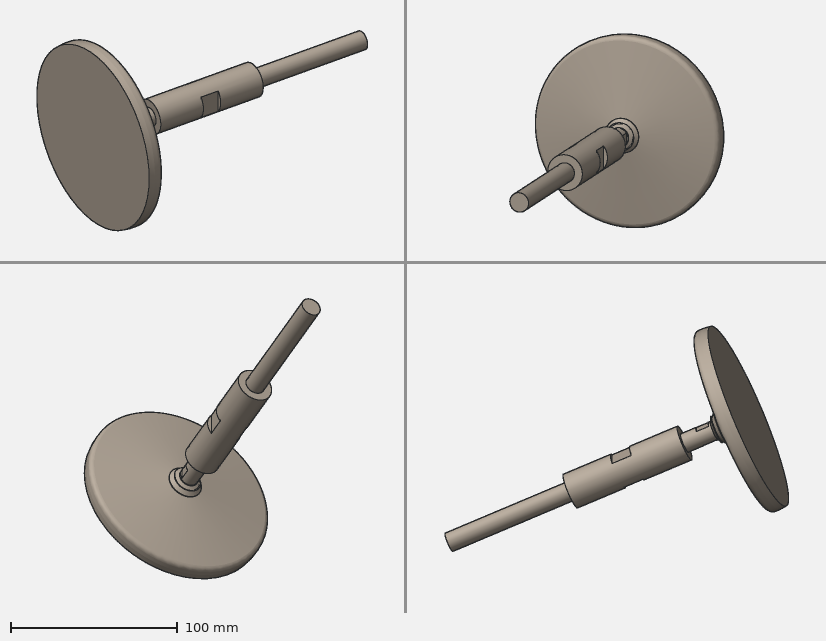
import cadquery as cq

TOTAL_LENGTH = 197.0

FOOT_RADIUS = 118.0 / 2
FACE_RADIUS = 58.5
RIM_LOW = 4.1
RIM_HIGH = 9.7
SHOULDER_FILLET = 3.0
HUB_RADIUS = 10.6
HUB_Y = 17.5
HUB_STEP = 0.4
HUB_TOP_RADIUS = 7.9
LIP_RADIUS = 8.7
LIP_Y = 20.9
LIP_THICKNESS = 0.4
SEAT_RADIUS = 5.5
SEAT_Y = 22.5

SPINDLE_RADIUS = 12.0 / 2
SPINDLE_FLATS = 10.0
SPINDLE_FLAT_START = 23.8
SPINDLE_FLAT_LENGTH = 8.0

SLEEVE_RADIUS = 22.0 / 2
SLEEVE_START = 42.0
SLEEVE_LENGTH = 75.0
SLEEVE_FLATS = 17.0
SLEEVE_FLAT_LENGTH = 12.6


def cylinder_y(radius, start, length):
    """Solid cylinder along +Y, beginning at y = start."""
    return cq.Workplane("XZ", origin=(0, start, 0)).circle(radius).extrude(-length)


def cut_flats(body, radius, across, start, length):
    """Cut two opposite wrench flats facing -X and +X."""
    depth = radius - across / 2
    for side in (-1, 1):
        cutter = cq.Workplane("XY").box(depth, length, 2 * radius)
        x = side * (across + depth) / 2
        body = body.cut(cutter.translate((x, start + length / 2, 0)))
    return body


def make_foot():
    """Conical plate with a rounded rim and a lipped hub."""
    plate = (
        cq.Workplane("XY")
        .lineTo(FACE_RADIUS, 0)
        .lineTo(FOOT_RADIUS, RIM_LOW)
        .lineTo(FOOT_RADIUS, RIM_HIGH)
        .lineTo(HUB_RADIUS, HUB_Y)
        .lineTo(HUB_RADIUS, HUB_Y + HUB_STEP)
        .lineTo(HUB_TOP_RADIUS, LIP_Y - LIP_THICKNESS)
        .lineTo(LIP_RADIUS, LIP_Y)
        .lineTo(SEAT_RADIUS, SEAT_Y)
        .lineTo(0, SEAT_Y)
        .close()
        .revolve(360, (0, 0, 0), (0, 1, 0))
    )
    rim_edges = plate.edges(cq.selectors.RadiusNthSelector(-1))
    return rim_edges.edges(">Y").fillet(SHOULDER_FILLET)


def make_spindle():
    """Long rod standing on the hub, with two wrench flats."""
    rod = cylinder_y(SPINDLE_RADIUS, SEAT_Y, TOTAL_LENGTH - SEAT_Y)
    return cut_flats(rod, SPINDLE_RADIUS, SPINDLE_FLATS, SPINDLE_FLAT_START, SPINDLE_FLAT_LENGTH)


def make_sleeve():
    """Tube around the spindle, with wrench flats at mid-length."""
    outer = cylinder_y(SLEEVE_RADIUS, SLEEVE_START, SLEEVE_LENGTH)
    bore = cylinder_y(SPINDLE_RADIUS, SLEEVE_START, SLEEVE_LENGTH)
    flat_start = SLEEVE_START + (SLEEVE_LENGTH - SLEEVE_FLAT_LENGTH) / 2
    return cut_flats(outer.cut(bore), SLEEVE_RADIUS, SLEEVE_FLATS, flat_start, SLEEVE_FLAT_LENGTH)


foot = make_foot()
spindle = make_spindle()
sleeve = make_sleeve()

result = cq.Compound.makeCompound([foot.val(), spindle.val(), sleeve.val()])